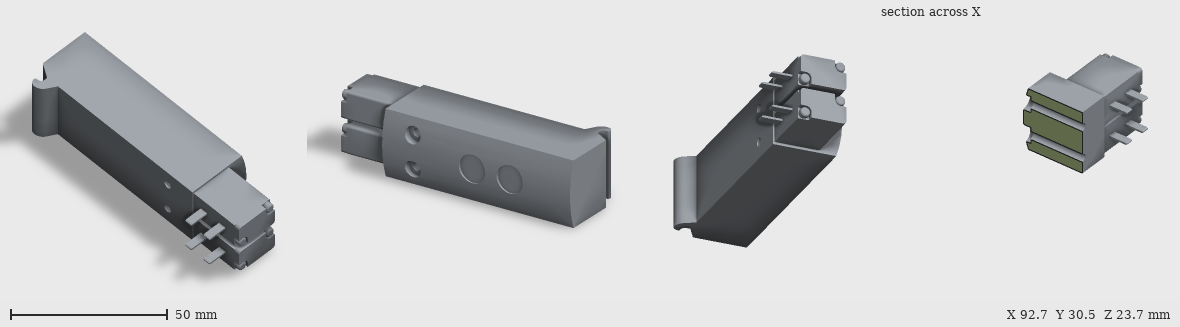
import cadquery as cq

body_length = 71.9
body_height = 23.7
shoulder_y = 22.0
crown_y = 24.0

ramp_start_y = 3.2
throat_x = 5.4
throat_y = -2.7
foot_tip_x = 2.8
foot_bottom_y = -5.4
foot_heel_x = 7.2
foot_root_x = 10.3
throat_radius = 1.6
tip_radius = 0.4
toe_radius = 2.0
heel_radius = 4.0

row_pitch = 12.0
mount_x = 60.5
mount_diameter = 3.0
counterbore_diameter = 6.0
counterbore_depth = 3.0

recess_diameter = 10.0
recess_positions = (23.1, 37.5)
recess_depth = 0.9

overall_length = 92.7
module_height = 10.0
module_front_y = 0.6
module_back_y = 16.5
module_edge_radius = 0.8
cap_length = 2.1
cap_setback = 0.1
cap_edge_radius = 1.1

screw_inset = 1.9
screw_diameter = 3.3
screw_end_radius = 0.65
notch_radius = 2.0
notch_size = screw_inset + notch_radius

blade_width = 2.9
blade_thickness = 0.7
blade_tip_y = -6.5
blade_first_x = 76.7
blade_pitch = 8.3
blade_tip_length = 0.5
blade_tip_taper = 0.2

row_heights = (-row_pitch / 2, row_pitch / 2)
cap_start_x = overall_length - cap_length
cap_middle_x = overall_length - cap_length / 2


def make_body():
    """Extruded side profile with the clip foot, rounded by a shallow crown."""
    throat = (throat_x, throat_y)
    tip = (foot_tip_x, throat_y)
    toe = (foot_tip_x, foot_bottom_y)
    heel = (foot_heel_x, foot_bottom_y)
    profile = [
        (0, crown_y), (0, ramp_start_y), (throat_x, 0), throat, tip, toe, heel,
        (foot_root_x, 0), (body_length, 0), (body_length, crown_y),
    ]
    body = cq.Workplane("XY").polyline(profile).close().extrude(body_height / 2, both=True)
    corners = ((throat, throat_radius), (tip, tip_radius), (toe, toe_radius), (heel, heel_radius))
    for (x, y), radius in corners:
        body = body.edges(cq.NearestToPointSelector((x, y, 0))).fillet(radius)

    half = body_height / 2
    crown = (
        cq.Workplane("YZ")
        .moveTo(foot_bottom_y, -half)
        .lineTo(shoulder_y, -half)
        .threePointArc((crown_y, 0), (shoulder_y, half))
        .lineTo(foot_bottom_y, half)
        .close()
        .extrude(body_length)
    )
    return body.intersect(crown)


def pocket_from_crown(points, diameter, depth):
    """Cylinders reaching down from the crown at (X, Z) points."""
    plane = cq.Plane(origin=(0, crown_y, 0), xDir=(1, 0, 0), normal=(0, -1, 0))
    return cq.Workplane(plane).pushPoints(points).circle(diameter / 2).extrude(depth)


def make_module(centre_z):
    """Coil module with rounded back edges, an end cap, two screws and two blades."""
    bottom_z = centre_z - module_height / 2
    top_z = centre_z + module_height / 2
    depth = module_back_y - module_front_y
    cap_depth = depth - cap_setback
    coil = (
        cq.Workplane("XY")
        .box(cap_start_x - body_length, depth, module_height, centered=False)
        .translate((body_length, module_front_y, bottom_z))
        .edges("|X and >Y")
        .fillet(module_edge_radius)
    )
    cap = (
        cq.Workplane("XY")
        .box(cap_length, cap_depth, module_height, centered=False)
        .translate((cap_start_x, module_front_y + cap_setback, bottom_z))
    )
    for y, z in ((module_front_y, top_z), (module_back_y, bottom_z)):
        corner_edge = cq.NearestToPointSelector((cap_middle_x, y, z))
        cap = cap.edges(corner_edge).fillet(cap_edge_radius)

    cap_face = cq.Workplane("YZ", origin=(cap_start_x, 0, 0))
    corners = ((module_front_y, bottom_z, 1), (module_back_y, top_z, -1))
    for y, z, inward in corners:
        centre = (y + inward * screw_inset, z + inward * screw_inset)
        inner = (y + inward * notch_size, z + inward * notch_size)
        notch = cap_face.center(y, z).rect(2 * notch_size, 2 * notch_size).extrude(cap_length)
        inner_edge = cq.NearestToPointSelector((cap_middle_x, *inner))
        notch = notch.edges(inner_edge).fillet(notch_radius)
        screw = cap_face.center(*centre).circle(screw_diameter / 2).extrude(cap_length)
        screw = screw.faces(">X").edges().fillet(screw_end_radius)
        cap = cap.cut(notch).union(screw)
    module = coil.union(cap)
    for blade_x in (blade_first_x, blade_first_x + blade_pitch):
        module = module.union(make_blade(blade_x, centre_z))
    return module


def make_blade(x, z):
    """Flat blade pointing to -Y, tapered at the tip."""
    straight_length = module_front_y - blade_tip_y - blade_tip_length
    plane = cq.Plane(origin=(x, module_front_y, z), xDir=(1, 0, 0), normal=(0, -1, 0))
    straight = cq.Workplane(plane).rect(blade_width, blade_thickness).extrude(straight_length)
    tip = (
        straight.faces("<Y")
        .workplane()
        .rect(blade_width, blade_thickness)
        .workplane(offset=blade_tip_length)
        .rect(blade_width - 2 * blade_tip_taper, blade_thickness - 2 * blade_tip_taper)
        .loft(combine=False)
    )
    return straight.union(tip)


mount_points = [(mount_x, z) for z in row_heights]
recess_points = [(x, 0) for x in recess_positions]

result = make_body()
result = result.cut(pocket_from_crown(mount_points, mount_diameter, crown_y))
result = result.cut(pocket_from_crown(mount_points, counterbore_diameter, counterbore_depth))
result = result.cut(pocket_from_crown(recess_points, recess_diameter, recess_depth))
for row_z in row_heights:
    result = result.union(make_module(row_z))